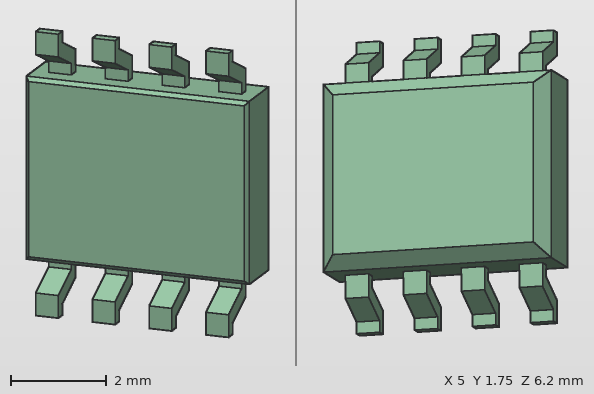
import cadquery as cq

overall_height = 6.2
overall_depth = 1.75

body_width = 5.0
body_height = 4.0
body_depth = 1.5
back_chamfer = 0.3
front_chamfer = 0.085

leads_per_side = 4
lead_pitch = 1.27
lead_width = 0.51
lead_thickness = 0.25
foot_inner_length = 0.25
foot_outer_length = 0.495
root_inner_length = 0.25
root_outer_length = 0.495

foot_y = -overall_depth / 2
body_back_y = overall_depth / 2
body_front_y = body_back_y - body_depth
root_y = (body_front_y + body_back_y) / 2
body_end_z = body_height / 2
tip_z = overall_height / 2


def make_body():
    """Box with all edges of the back and front faces bevelled."""
    block = cq.Workplane("XY").box(body_width, body_depth, body_height)
    block = block.translate((0, root_y, 0))
    block = block.faces(">Y").chamfer(back_chamfer)
    return block.faces("<Y").chamfer(front_chamfer)


def make_upper_lead(x_center):
    """Bent strip running from the body centre plane out to the upper foot."""
    profile = [
        (root_y, 0),
        (root_y, body_end_z + root_outer_length),
        (foot_y + lead_thickness, tip_z - foot_inner_length),
        (foot_y + lead_thickness, tip_z),
        (foot_y, tip_z),
        (foot_y, tip_z - foot_outer_length),
        (root_y - lead_thickness, body_end_z + root_inner_length),
        (root_y - lead_thickness, 0),
    ]
    strip = cq.Workplane("YZ").polyline(profile).close().extrude(lead_width / 2, both=True)
    return strip.translate((x_center, 0, 0))


result = make_body()
for index in range(leads_per_side):
    lead_x = (index - (leads_per_side - 1) / 2) * lead_pitch
    upper_lead = make_upper_lead(lead_x)
    result = result.union(upper_lead).union(upper_lead.mirror("XY"))